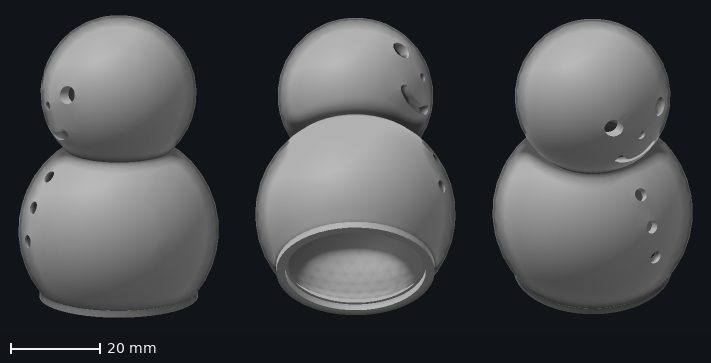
import cadquery as cq
import math

total_height = 64.75
wall = 2.0

head_radius = 17.5
head_center_z = total_height - head_radius
body_radius = 22.5
body_center_z = 15.4

base_diameter = 35.55
base_height = 1.55
base_bore = base_diameter - 2 * wall

neck_rounding = 1.0
neck_z = 34.45

eye_diameter = 4.0
eye_offset_x = 6.6
eye_z = 50.4
nose_diameter = 2.0
nose_z = 46.4
mouth_width = 2.0
mouth_end_x = 4.85
mouth_sag = 1.7
mouth_bottom_z = 39.4

button_diameter = 3.0
button_angles = (0, 20, 40)


def sphere(radius, center_z):
    return cq.Workplane("XY").sphere(radius).translate((0, 0, center_z))


def snowman(head_r, body_r, base_d):
    """Head, body and base cylinder joined, with everything below Z = 0 removed."""
    base = cq.Workplane("XY").circle(base_d / 2).extrude(base_height)
    below_ground = cq.Workplane("XY").circle(2 * body_r).extrude(-2 * body_r)
    balls = sphere(body_r, body_center_z).union(sphere(head_r, head_center_z))
    return balls.cut(below_ground).union(base)


def face_hole(diameter, x, z):
    """Cylinder running from the middle plane out through the front of the head."""
    return cq.Workplane("XZ").center(x, z).circle(diameter / 2).extrude(head_radius)


def mouth():
    """Smile: a curved slot with round ends."""
    arc_radius = (mouth_end_x**2 + mouth_sag**2) / (2 * mouth_sag)
    center_z = mouth_bottom_z + arc_radius
    half_angle = math.asin(mouth_end_x / arc_radius)
    outer = arc_radius + mouth_width / 2
    inner = arc_radius - mouth_width / 2

    def point(radius, angle):
        return (radius * math.sin(angle), center_z - radius * math.cos(angle))

    def end_tip(side):
        """Outermost point of the round end on the given side."""
        x, z = point(arc_radius, side * half_angle)
        reach = mouth_width / 2
        return (x + side * reach * math.cos(half_angle), z + reach * math.sin(half_angle))

    return (
        cq.Workplane("XZ")
        .moveTo(*point(outer, -half_angle))
        .threePointArc(point(outer, 0), point(outer, half_angle))
        .threePointArc(end_tip(1), point(inner, half_angle))
        .threePointArc(point(inner, 0), point(inner, -half_angle))
        .threePointArc(end_tip(-1), point(outer, -half_angle))
        .close()
        .extrude(head_radius)
    )


def button_hole(angle):
    """Radial hole through the body wall, tilted up by the given angle."""
    body_center = (0, 0, body_center_z)
    hole = cq.Workplane("XZ", origin=body_center).circle(button_diameter / 2).extrude(2 * body_radius)
    axis_end = (1, 0, body_center_z)
    return hole.rotate(body_center, axis_end, -angle)


outside = snowman(head_radius, body_radius, base_diameter)
cavity = snowman(head_radius - wall, body_radius - wall, base_bore)
neck_rim = cq.selectors.NearestToPointSelector((0, 0, neck_z))
result = outside.cut(cavity.edges("%CIRCLE").edges(neck_rim).fillet(neck_rounding))

for side in (-1, 1):
    result = result.cut(face_hole(eye_diameter, side * eye_offset_x, eye_z))
result = result.cut(face_hole(nose_diameter, 0, nose_z))
result = result.cut(mouth())
for button_angle in button_angles:
    result = result.cut(button_hole(button_angle))